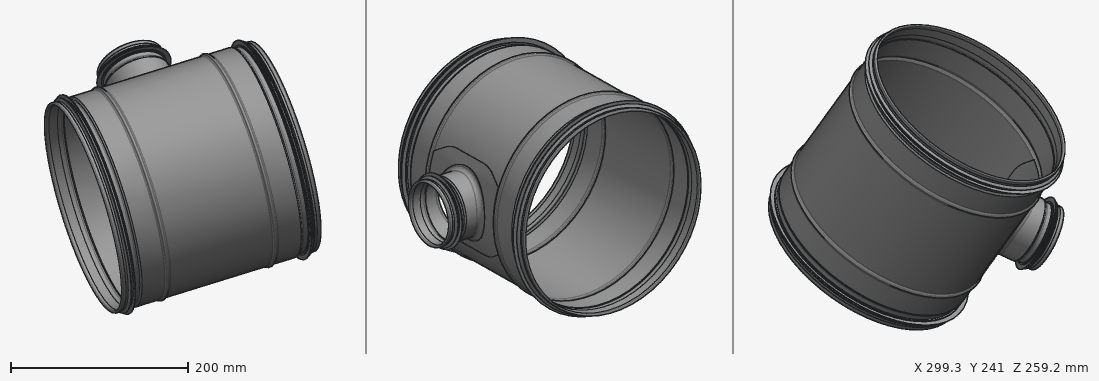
import cadquery as cq
import math

DUCT_LENGTH = 241.0
DUCT_DIAMETER = 248.8
DUCT_NECK_DIAMETER = 244.0
DUCT_RIM_DIAMETER = 248.8
DUCT_GASKET_DIAMETER = 248.0
DUCT_LIP_DIAMETERS = (254.5, 259.2)

BRANCH_REACH = 169.7
BRANCH_DIAMETER = 78.0
BRANCH_NECK_DIAMETER = 74.2
BRANCH_RIM_DIAMETER = 79.0
BRANCH_GASKET_DIAMETER = 78.0
BRANCH_LIP_DIAMETERS = (84.5, 89.5)

SHEET = 0.45

RIM_LENGTH = 5.0
GASKET_END = 15.5
STEP_START = 20.7
STEP_END = 24.5

SLANTED_LIP_START = 7.8
SLANTED_LIP_TIP = 10.0
SLANTED_LIP_END = 10.8
FLAT_LIP_START = 13.8
FLAT_LIP_END = 14.7

RIDGE_FROM_END = 55.5
RIDGE_HALF_WIDTH = 3.5
RIDGE_HEIGHT = 2.0

SADDLE_HALF_HEIGHT = 56.5
SADDLE_CORNER_PLACE = 36.5
SADDLE_CORNER_ROUNDING = 42.0
SADDLE_SIDE_HALF = 42.0
FLARE_RADIUS = 5.7

duct_radius = DUCT_DIAMETER / 2
branch_radius = BRANCH_DIAMETER / 2
ridge_place = DUCT_LENGTH / 2 - RIDGE_FROM_END
saddle_half_width = ridge_place - RIDGE_HALF_WIDTH
saddle_radius = duct_radius + SHEET
hole_radius = branch_radius + FLARE_RADIUS

ridge_bend = (RIDGE_HALF_WIDTH**2 + RIDGE_HEIGHT**2) / (4 * RIDGE_HEIGHT)
ridge_bend_angle = math.asin(RIDGE_HALF_WIDTH / 2 / ridge_bend)


def revolve_z(profile):
    """Turn a closed (radius, z) profile on the XZ plane around the Z axis."""
    return profile.revolve(360, (0, 0, 0), (0, 1, 0))


def cylinder_duct(radius):
    """Cylinder along Y as long as the duct."""
    return cq.Workplane("XZ").circle(radius).extrude(DUCT_LENGTH / 2, both=True)


def cylinder_branch(radius):
    """Cylinder along X from the duct axis to the inner end of the branch spigot."""
    return cq.Workplane("YZ").circle(radius).extrude(STEP_END - BRANCH_REACH)


def spigot(neck_diameter, rim_diameter, tube_diameter):
    """Spigot along Z, open end at z = 0: rounded rim, gasket neck and step up to the tube."""
    neck = neck_diameter / 2
    tube = tube_diameter / 2
    bore = neck - SHEET
    rim = rim_diameter / 2
    rounding = (rim - bore) / 2
    step_middle = ((neck + tube) / 2, (STEP_START + STEP_END) / 2)
    profile = (
        cq.Workplane("XZ")
        .moveTo(bore, rounding)
        .threePointArc((bore + rounding, 0), (rim, rounding))
        .lineTo(rim, RIM_LENGTH)
        .lineTo(neck, RIM_LENGTH)
        .lineTo(neck, STEP_START)
        .tangentArcPoint(step_middle, relative=False)
        .tangentArcPoint((tube, STEP_END), relative=False)
        .lineTo(tube - SHEET, STEP_END)
        .lineTo(bore, step_middle[1])
        .close()
    )
    return revolve_z(profile)


def gasket(neck_diameter, base_diameter, lip_diameters):
    """Gasket along Z on a spigot neck: base ring, a slanted lip and a taller flat lip."""
    neck = neck_diameter / 2
    base = base_diameter / 2
    slanted_lip, flat_lip = (diameter / 2 for diameter in lip_diameters)
    points = [
        (neck, RIM_LENGTH),
        (base, RIM_LENGTH),
        (base, SLANTED_LIP_START),
        (slanted_lip, SLANTED_LIP_TIP),
        (slanted_lip, SLANTED_LIP_END),
        (base, SLANTED_LIP_END),
        (base, FLAT_LIP_START),
        (flat_lip, FLAT_LIP_START),
        (flat_lip, FLAT_LIP_END),
        (base, FLAT_LIP_END),
        (base, GASKET_END),
        (neck, GASKET_END),
    ]
    return revolve_z(cq.Workplane("XZ").polyline(points).close())


def at_front_end(part):
    return part.rotate((0, 0, 0), (1, 0, 0), -90).translate((0, -DUCT_LENGTH / 2, 0))


def at_back_end(part):
    return at_front_end(part).mirror("XZ")


def at_branch_end(part):
    return part.rotate((0, 0, 0), (0, 1, 0), 90).translate((-BRANCH_REACH, 0, 0))


def ridge_disc(depth):
    """Solid disc with a ridged rim, `depth` below the outer surface of the sheet."""
    foot_bend = ridge_bend + depth
    crown_bend = ridge_bend - depth
    foot_center = duct_radius + ridge_bend
    crown_center = duct_radius + RIDGE_HEIGHT - ridge_bend

    def foot(angle, side):
        z = side * (RIDGE_HALF_WIDTH - foot_bend * math.sin(angle))
        return foot_center - foot_bend * math.cos(angle), z

    crown_top = (crown_center + crown_bend, 0)
    profile = (
        cq.Workplane("XZ")
        .moveTo(0, -RIDGE_HALF_WIDTH)
        .lineTo(*foot(0, -1))
        .threePointArc(foot(ridge_bend_angle / 2, -1), foot(ridge_bend_angle, -1))
        .threePointArc(crown_top, foot(ridge_bend_angle, 1))
        .threePointArc(foot(ridge_bend_angle / 2, 1), foot(0, 1))
        .lineTo(0, RIDGE_HALF_WIDTH)
        .close()
    )
    return revolve_z(profile).rotate((0, 0, 0), (1, 0, 0), 90)


def ridged_cylinder(depth):
    """Solid cylinder with both ridges, `depth` below the outer surface of the duct."""
    half_length = DUCT_LENGTH / 2 - STEP_END
    solid = cq.Workplane("XZ").circle(duct_radius - depth).extrude(half_length, both=True)
    for side in (-1, 1):
        solid = solid.union(ridge_disc(depth).translate((0, side * ridge_place, 0)))
    return solid


def flared_branch(depth):
    """Solid duct and branch joined by a fillet, `depth` below the outside of the saddle sheet."""
    solid = cylinder_duct(saddle_radius - depth).union(cylinder_branch(branch_radius - depth))
    joint = cq.selectors.BoxSelector(
        (-saddle_radius - FLARE_RADIUS, -hole_radius, -hole_radius),
        (0, hole_radius, hole_radius),
        boundingbox=True,
    )
    return solid.edges(joint).fillet(FLARE_RADIUS + depth)


def saddle_prism():
    """Prism along X with the outline of the saddle plate, on the branch side of the duct."""
    corner = (SADDLE_CORNER_PLACE, SADDLE_HALF_HEIGHT)
    side_end = (saddle_half_width, SADDLE_SIDE_HALF)
    upper = [(-side_end[0], side_end[1]), (-corner[0], corner[1]), corner, side_end]
    lower = [(y, -z) for y, z in reversed(upper)]
    prism = cq.Workplane("YZ").polyline(upper + lower).close().extrude(-BRANCH_REACH)
    return prism.edges("|X").edges(">Z or <Z").fillet(SADDLE_CORNER_ROUNDING)


def build_duct():
    """Ridged sheet tube with a spigot at each end and a hole for the branch."""
    end = spigot(DUCT_NECK_DIAMETER, DUCT_RIM_DIAMETER, DUCT_DIAMETER)
    shell = ridged_cylinder(0).cut(ridged_cylinder(SHEET))
    shell = shell.union(at_front_end(end)).union(at_back_end(end))
    return shell.cut(cylinder_branch(hole_radius))


def build_branch():
    """Saddle plate and flared branch of sheet metal, with a spigot at the open end."""
    saddle = flared_branch(0).cut(flared_branch(SHEET)).intersect(saddle_prism())
    end = spigot(BRANCH_NECK_DIAMETER, BRANCH_RIM_DIAMETER, BRANCH_DIAMETER)
    return saddle.union(at_branch_end(end))


duct = build_duct()
branch = build_branch()
duct_gasket = gasket(DUCT_NECK_DIAMETER, DUCT_GASKET_DIAMETER, DUCT_LIP_DIAMETERS)
branch_gasket = at_branch_end(
    gasket(BRANCH_NECK_DIAMETER, BRANCH_GASKET_DIAMETER, BRANCH_LIP_DIAMETERS)
)
duct_gaskets = [place(duct_gasket) for place in (at_front_end, at_back_end)]

result = cq.Compound.makeCompound(
    [duct.val(), branch.val(), branch_gasket.val(), *(ring.val() for ring in duct_gaskets)]
)